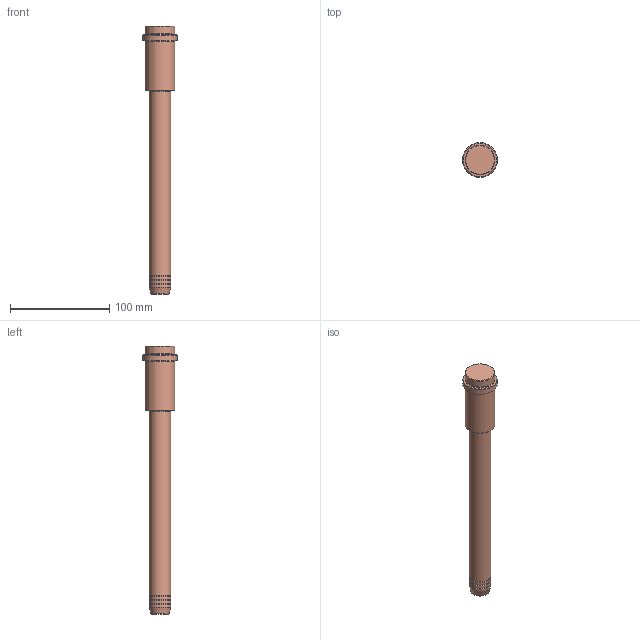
import cadquery as cq
import math


total_length = 270.0
shaft_length = 205.0
collar_bottom = 255.0
collar_thickness = 6.0
collar_top = collar_bottom + collar_thickness

head_radius = 15.0
collar_radius = 17.5
shaft_radius = 11.0

edge_chamfer = 0.5

lead_length = 7.0
lead_angle = 15.0
tip_radius = shaft_radius - lead_length * math.tan(math.radians(lead_angle))
tip_chamfer = 0.2

relief_height = 1.0
relief_depth = 0.6

groove_radius = 0.5

groove_spacing = 4.0
groove_count = 3
lowest_groove = 10.5

lower_undercut = collar_bottom - groove_radius
upper_land = 0.1
upper_undercut = collar_top + upper_land + groove_radius


def make_body():
    """Stepped pillar: tapered tip, shaft, relief and head with collar."""
    relief_bottom = shaft_length - relief_height
    relief_radius = shaft_radius - relief_depth
    profile = [
        (0, 0),
        (tip_radius - tip_chamfer, 0),
        (tip_radius, tip_chamfer),
        (shaft_radius, lead_length),
        (shaft_radius, relief_bottom),
        (relief_radius, relief_bottom),
        (relief_radius, shaft_length),
        (head_radius - edge_chamfer, shaft_length),
        (head_radius, shaft_length + edge_chamfer),
        (head_radius, collar_bottom),
        (collar_radius, collar_bottom),
        (collar_radius, collar_top - edge_chamfer),
        (collar_radius - edge_chamfer, collar_top),
        (head_radius, collar_top),
        (head_radius, total_length - edge_chamfer),
        (head_radius - edge_chamfer, total_length),
        (0, total_length),
    ]
    return cq.Workplane("XZ").polyline(profile).close().revolve(360, (0, 0), (0, 1))


def groove_cutter(cylinder_radius, height):
    """Ring of round section, centred on the cylinder surface, that cuts a half-round groove."""
    section = cq.Workplane("XZ").moveTo(cylinder_radius, height).circle(groove_radius)
    return section.revolve(360, (0, 0), (0, 1))


def cut_shaft_grooves(body):
    """Cut the evenly spaced grooves near the tip of the shaft."""
    for index in range(groove_count):
        height = lowest_groove + index * groove_spacing
        body = body.cut(groove_cutter(shaft_radius, height))
    return body


def cut_collar_undercuts(body):
    """Cut a groove into the head next to each face of the collar."""
    for height in (lower_undercut, upper_undercut):
        body = body.cut(groove_cutter(head_radius, height))
    return body


pillar = make_body()
pillar = cut_shaft_grooves(pillar)
result = cut_collar_undercuts(pillar)